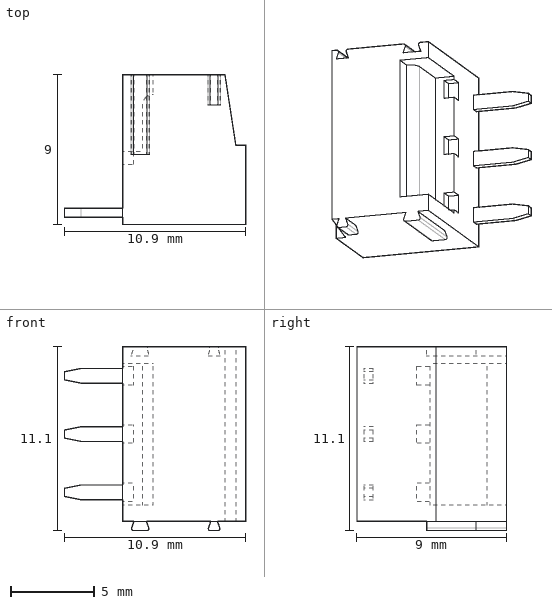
import cadquery as cq
import math

body_length = 7.4
body_depth = 9.0
body_height = 10.5

step_y = 4.77
step_x = 6.8
slope_end_x = 6.15

pitch = 3.5
contact_count = 3
contact_heights = [pitch * (index + 0.5) for index in range(contact_count)]

pin_length = 3.5
pin_height = 0.9
pin_thickness = 0.55
pin_y = 0.71
tip_length = 1.0
tip_height = 0.5

end_wall = 1.0
opening_y = 4.4
opening_depth = 1.2
deep_depth = 1.82
round_start_y = 7.2
round_radius = deep_depth - opening_depth

notch_width = 0.8
notch_height = 1.1
notch_depth = 0.64

rail_height = 0.55
groove_depth = rail_height
flare_slope = 0.35
rail_corner_radius = 0.12
lip_radius = 0.13
groove_clearance = 0.03
wide_rail = {"x": 1.05, "neck": 0.77, "length": 4.8}
narrow_rail = {"x": 5.49, "neck": 0.42, "length": 1.83}
rails = [wide_rail, narrow_rail]


def make_body():
    """Housing block with the stepped, sloped right side."""
    return (
        cq.Workplane("XY")
        .moveTo(0, 0)
        .lineTo(body_length, 0)
        .lineTo(body_length, step_y)
        .lineTo(step_x, step_y)
        .lineTo(slope_end_x, body_depth)
        .lineTo(0, body_depth)
        .close()
        .extrude(body_height)
    )


def make_opening():
    """Recess whose floor drops to a deeper level over a rounded edge."""
    diagonal = round_radius * math.sqrt(0.5)
    return (
        cq.Workplane("XY")
        .workplane(offset=end_wall)
        .moveTo(0, opening_y)
        .lineTo(opening_depth, opening_y)
        .lineTo(opening_depth, round_start_y)
        .threePointArc(
            (deep_depth - diagonal, round_start_y + diagonal),
            (deep_depth, round_start_y + round_radius),
        )
        .lineTo(deep_depth, body_depth)
        .lineTo(0, body_depth)
        .close()
        .extrude(body_height - 2 * end_wall)
    )


def make_notch(height):
    """Notch in the left face next to the opening, centred at the given height."""
    return (
        cq.Workplane("XY")
        .box(notch_depth, notch_width, notch_height, centered=(False, False, True))
        .translate((0, opening_y - notch_width, height))
    )


def make_pin(height):
    """Flat pin pointing to -X with its top and bottom tapered at the tip."""
    shoulder_x = tip_length - pin_length
    return (
        cq.Workplane("XZ")
        .moveTo(0, pin_height / 2)
        .lineTo(shoulder_x, pin_height / 2)
        .lineTo(-pin_length, tip_height / 2)
        .lineTo(-pin_length, -tip_height / 2)
        .lineTo(shoulder_x, -pin_height / 2)
        .lineTo(0, -pin_height / 2)
        .close()
        .extrude(pin_thickness / 2, both=True)
        .translate((0, pin_y, height))
    )


def make_rail(rail):
    """Dovetail rail under the housing, running in from the back face."""
    half_neck = rail["neck"] / 2
    half_foot = half_neck + rail_height * flare_slope
    return (
        cq.Workplane("XZ")
        .moveTo(-half_neck, 0)
        .lineTo(half_neck, 0)
        .lineTo(half_foot, -rail_height)
        .lineTo(-half_foot, -rail_height)
        .close()
        .extrude(rail["length"])
        .edges("<Z and |Y")
        .fillet(rail_corner_radius)
        .translate((rail["x"], body_depth, 0))
    )


def make_groove(rail):
    """Dovetail groove with rounded lips, matching a rail of the next housing."""
    half_throat = rail["neck"] / 2 + groove_clearance
    lip_x = half_throat + lip_radius
    flare_angle = math.atan(flare_slope)
    lip_end_angle = math.pi + flare_angle
    lip_middle_angle = (math.pi / 2 + lip_end_angle) / 2

    def lip_point(angle):
        return lip_x + lip_radius * math.cos(angle), lip_radius * (math.sin(angle) - 1)

    def mirrored(point):
        return -point[0], point[1]

    lip_middle = lip_point(lip_middle_angle)
    lip_end = lip_point(lip_end_angle)
    floor_corner = (lip_end[0] + (groove_depth + lip_end[1]) * flare_slope, -groove_depth)
    return (
        cq.Workplane("XZ")
        .moveTo(lip_x, 0)
        .threePointArc(lip_middle, lip_end)
        .lineTo(*floor_corner)
        .lineTo(*mirrored(floor_corner))
        .lineTo(*mirrored(lip_end))
        .threePointArc(mirrored(lip_middle), (-lip_x, 0))
        .close()
        .extrude(rail["length"])
        .translate((rail["x"], body_depth, body_height))
    )


result = make_body().cut(make_opening())
for contact_height in contact_heights:
    result = result.cut(make_notch(contact_height)).union(make_pin(contact_height))
for rail in rails:
    result = result.cut(make_groove(rail)).union(make_rail(rail))